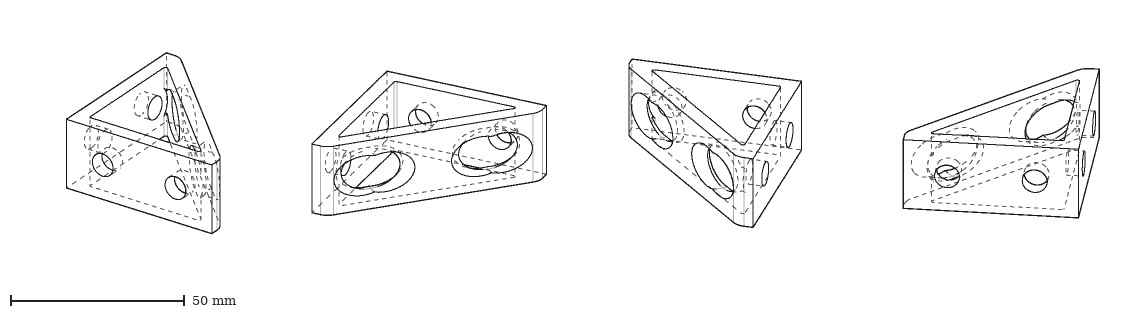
import cadquery as cq
import math

leg = 50.8
height = 22.25
wall = 4.8
tip = 4.8
tip_radius = 5.0
pocket_radius = 0.6
bolt_diameter = 7.2
access_diameter = 12.7
bolt_positions = (leg / 4, 3 * leg / 4)

outer_sum = leg + tip
inner_sum = outer_sum - wall * math.sqrt(2)
pocket_end = inner_sum - wall


def bracket_body():
    tip_corners = cq.selectors.BoxSelector((tip / 2, tip / 2, 0), (2 * leg, 2 * leg, height))
    return (
        cq.Workplane("XY")
        .polyline([(0, 0), (leg, 0), (leg, tip), (tip, leg), (0, leg)])
        .close()
        .extrude(height)
        .edges("|Z")
        .edges(tip_corners)
        .fillet(tip_radius)
    )


def triangular_pocket():
    return (
        cq.Workplane("XY")
        .polyline([(wall, wall), (pocket_end, wall), (wall, pocket_end)])
        .close()
        .extrude(height)
        .edges("|Z")
        .fillet(pocket_radius)
    )


def leg_hole(position, along_y):
    """Bolt hole through one leg, widened from the leg's inner face through the brace."""
    if along_y:
        start = cq.Vector(position, 0, height / 2)
        axis = cq.Vector(0, 1, 0)
    else:
        start = cq.Vector(0, position, height / 2)
        axis = cq.Vector(1, 0, 0)
    bolt = cq.Solid.makeCylinder(bolt_diameter / 2, leg, start, axis)
    access = cq.Solid.makeCylinder(access_diameter / 2, leg, start + axis * wall, axis)
    return bolt.fuse(access)


result = bracket_body().cut(triangular_pocket())
for position in bolt_positions:
    for along_y in (True, False):
        result = result.cut(cq.Workplane(obj=leg_hole(position, along_y)))